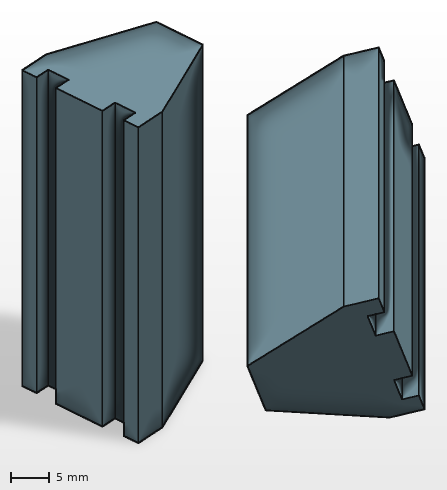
import cadquery as cq

width = 20.0
depth = 20.0
height = 50.0

nose_width = 8.0
tongue_width = 8.0
foot_width = 2.5
foot_setback = 0.2
groove_floor = 2.5
shoulder = 5.0

tongue_y = -depth / 2
foot_y = tongue_y + foot_setback
groove_y = tongue_y + groove_floor
shoulder_y = tongue_y + shoulder
nose_y = depth / 2

right_half = [
    (tongue_width / 2, tongue_y),
    (tongue_width / 2, groove_y),
    (width / 2 - foot_width, groove_y),
    (width / 2 - foot_width, foot_y),
    (width / 2, foot_y),
    (width / 2, shoulder_y),
    (nose_width / 2, nose_y),
]
left_half = [(-x, y) for x, y in reversed(right_half)]

result = (
    cq.Workplane("XY")
    .workplane(offset=-height / 2)
    .polyline(right_half + left_half)
    .close()
    .extrude(height)
)